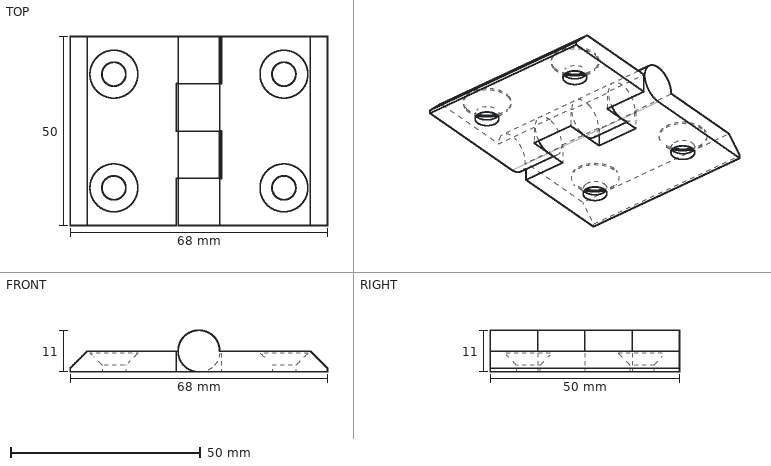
import cadquery as cq

hinge_span = 68.0
hinge_length = 50.0
barrel_diameter = 11.0
barrel_radius = barrel_diameter / 2
leaf_thickness = barrel_radius
half_span = hinge_span / 2

bevel_width = 4.55
edge_height = 0.95

knuckle_count = 4
knuckle_length = hinge_length / knuckle_count
notch_clearance = 0.4
plate_inner_x = barrel_radius + notch_clearance

hole_x = 22.45
hole_spacing = 30.0
hole_diameter = 6.25
countersink_diameter = 12.65
rim_depth = 0.5
cone_depth = (countersink_diameter - hole_diameter) / 2


def make_plate():
    """Flat plate on the +X side, beveled along its outer edge."""
    return (
        cq.Workplane("XZ", origin=(0, hinge_length / 2, 0))
        .moveTo(plate_inner_x, 0)
        .lineTo(half_span, 0)
        .lineTo(half_span, edge_height)
        .lineTo(half_span - bevel_width, leaf_thickness)
        .lineTo(plate_inner_x, leaf_thickness)
        .close()
        .extrude(hinge_length)
    )


def make_knuckle(y_start):
    """Solid barrel section joined to the plate by a web under the hinge axis."""
    barrel = (
        cq.Workplane("XZ", origin=(0, y_start, 0))
        .center(0, barrel_radius)
        .circle(barrel_radius)
        .extrude(-knuckle_length)
    )
    web = cq.Workplane("XY").box(
        plate_inner_x, knuckle_length, leaf_thickness, centered=False
    ).translate((0, y_start, 0))
    return barrel.union(web)


def make_screw_hole(y):
    """Cutter for one screw hole: straight rim, cone and through hole."""
    cone_top = leaf_thickness - rim_depth
    cone_bottom = cone_top - cone_depth
    return (
        cq.Workplane("XZ")
        .lineTo(hole_diameter / 2, 0)
        .lineTo(hole_diameter / 2, cone_bottom)
        .lineTo(countersink_diameter / 2, cone_top)
        .lineTo(countersink_diameter / 2, leaf_thickness)
        .lineTo(0, leaf_thickness)
        .close()
        .revolve(360, (0, 0, 0), (0, 1, 0))
        .translate((hole_x, y, 0))
    )


def make_leaf():
    """Leaf on the +X side, carrying every second knuckle from the -Y end."""
    leaf = make_plate()
    for index in range(0, knuckle_count, 2):
        leaf = leaf.union(make_knuckle(-hinge_length / 2 + index * knuckle_length))
    for side in (-1, 1):
        leaf = leaf.cut(make_screw_hole(side * hole_spacing / 2))
    return leaf


leaves = [make_leaf().rotate((0, 0, 0), (0, 0, 1), angle) for angle in (0, 180)]

result = cq.Compound.makeCompound([leaf.val() for leaf in leaves])